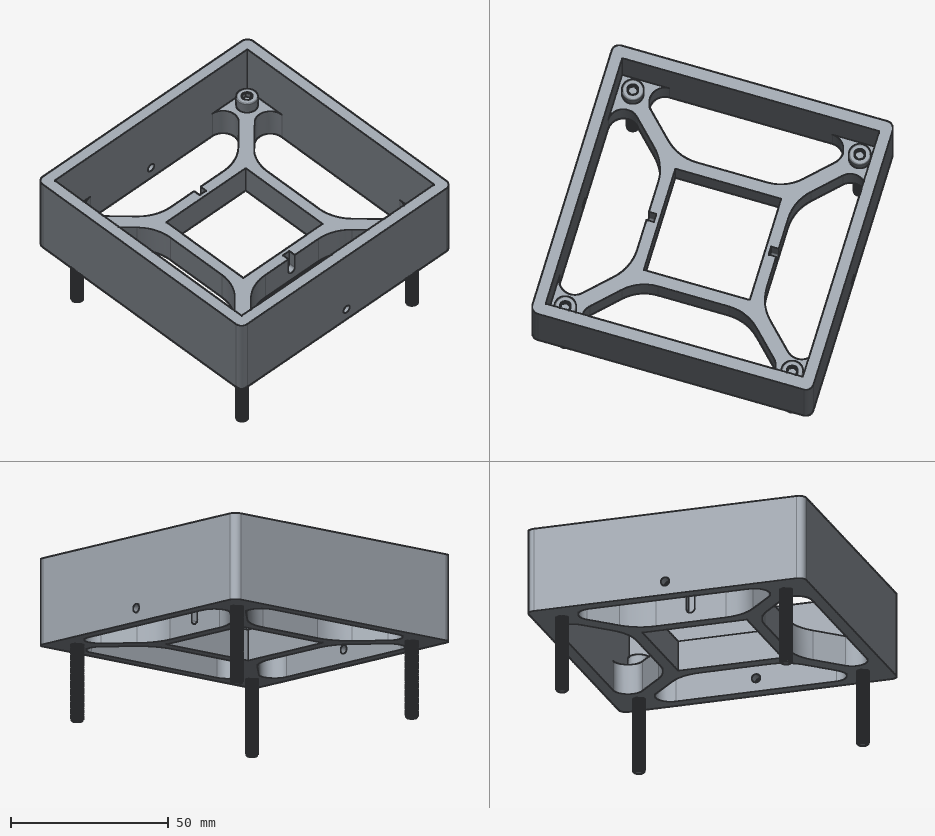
import cadquery as cq
import math

opening_width = 85.0
wall = 3.95
outer_width = opening_width + 2 * wall
frame_height = 28.0
corner_radius = 2.5

floor_height = 10.0
window_width = 35.0
diagonal_bar_width = 5.0
slot_end_radius = 5.0
slot_bend_radius = 15.0
slot_outer = opening_width / 2
slot_inner = window_width / 2 + wall

cross_hole_diameter = 2.8
cross_hole_z = 4.5
groove_depth = 2.5

screw_spacing = 75.0
thread_diameter = 4.0
thread_root_diameter = 3.09
thread_pitch = 0.7
thread_crest_width = thread_pitch / 8
thread_root_width = thread_pitch / 4
thread_start_angle = 270
screw_length = 35.0
head_clearance = 0.25
tip_chamfer = 0.6
head_diameter = 7.0
head_height = 4.0
head_edge_radius = 0.3
socket_width = 3.0
socket_depth = 2.0
socket_mouth_diameter = 3.6
socket_turn = 30


def slot_cutter(angle):
    """Rounded trapezoid opening on the +Y side, turned about Z by the given angle."""
    diagonal_offset = diagonal_bar_width / math.sqrt(2)
    outer_half = slot_outer - diagonal_offset
    inner_half = slot_inner - diagonal_offset
    slot = (
        cq.Workplane("XY")
        .polyline([
            (-outer_half, slot_outer),
            (-inner_half, slot_inner),
            (inner_half, slot_inner),
            (outer_half, slot_outer),
        ])
        .close()
        .extrude(floor_height)
    )
    slot = slot.edges("|Z").edges(">Y").fillet(slot_end_radius)
    slot = slot.edges("|Z").edges("<Y").fillet(slot_bend_radius)
    return slot.rotate((0, 0, 0), (0, 0, 1), angle)


def groove_cutter(side):
    """Round-bottomed groove, open at the top, in the outer face of one window bar."""
    groove_end = slot_inner - groove_depth
    channel_height = floor_height - cross_hole_z
    bottom = (
        cq.Workplane("YZ", origin=(groove_end, 0, cross_hole_z))
        .circle(cross_hole_diameter / 2)
        .extrude(groove_depth)
    )
    channel = cq.Workplane("XY").box(
        groove_depth, cross_hole_diameter, channel_height, centered=(False, True, False)
    ).translate((groove_end, 0, cross_hole_z))
    groove = bottom.union(channel)
    return groove if side > 0 else groove.mirror("YZ")


def make_frame():
    frame = (
        cq.Workplane("XY")
        .rect(outer_width, outer_width)
        .extrude(frame_height)
        .edges("|Z")
        .fillet(corner_radius)
    )
    cavity = (
        cq.Workplane("XY", origin=(0, 0, floor_height))
        .rect(opening_width, opening_width)
        .extrude(frame_height - floor_height)
    )
    window = cq.Workplane("XY").rect(window_width, window_width).extrude(floor_height)
    frame = frame.cut(cavity).cut(window)
    for angle in (0, 90, 180, 270):
        frame = frame.cut(slot_cutter(angle))

    for side in (-1, 1):
        wall_hole = (
            cq.Workplane("YZ", origin=(side * slot_outer, 0, cross_hole_z))
            .circle(cross_hole_diameter / 2)
            .extrude(side * wall)
        )
        frame = frame.cut(wall_hole).cut(groove_cutter(side))

    screw_holes = (
        cq.Workplane("XY")
        .rect(screw_spacing, screw_spacing, forConstruction=True)
        .vertices()
        .circle(thread_diameter / 2)
        .extrude(floor_height)
    )
    return frame.cut(screw_holes)


def make_thread_groove():
    """Helical V groove that forms the thread, starting just past the tip."""
    crest_radius = thread_diameter / 2
    root_radius = thread_root_diameter / 2
    overshoot = 0.1
    flank_width = (thread_pitch - thread_crest_width - thread_root_width) / 2
    flank_slope = flank_width / (crest_radius - root_radius)
    root_half = thread_root_width / 2
    mouth_half = root_half + flank_slope * (crest_radius - root_radius + overshoot)
    mouth_radius = crest_radius + overshoot
    helix = cq.Wire.makeHelix(thread_pitch, screw_length, root_radius)
    return (
        cq.Workplane("XZ")
        .polyline([
            (root_radius, -root_half),
            (mouth_radius, -mouth_half),
            (mouth_radius, mouth_half),
            (root_radius, root_half),
        ])
        .close()
        .sweep(cq.Workplane(helix), isFrenet=True)
        .translate((0, 0, -screw_length - thread_pitch))
        .rotate((0, 0, 0), (0, 0, 1), thread_start_angle)
    )


def make_screw():
    """Screw along Z with the underside of its head at Z = 0."""
    shank = (
        cq.Workplane("XY")
        .circle(thread_diameter / 2)
        .extrude(-screw_length)
        .faces("<Z")
        .chamfer(tip_chamfer)
    )
    shank = shank.cut(make_thread_groove())

    head = (
        cq.Workplane("XY")
        .circle(head_diameter / 2)
        .extrude(head_height)
        .faces(">Z")
        .edges()
        .fillet(head_edge_radius)
    )
    socket_corner_diameter = socket_width / math.cos(math.radians(30))
    socket = (
        cq.Workplane("XY", origin=(0, 0, head_height - socket_depth))
        .polygon(6, socket_corner_diameter)
        .extrude(socket_depth)
        .rotate((0, 0, 0), (0, 0, 1), socket_turn)
    )
    mouth_depth = (socket_mouth_diameter - socket_width) / 2
    socket_mouth = (
        cq.Workplane("XY", origin=(0, 0, head_height))
        .circle(socket_mouth_diameter / 2)
        .workplane(offset=-mouth_depth)
        .circle(socket_width / 2)
        .loft()
    )
    return head.cut(socket).cut(socket_mouth).union(shank)


frame = make_frame()

screw = make_screw()
half_spacing = screw_spacing / 2
screws = [
    screw.translate((x, y, floor_height + head_clearance))
    for x in (-half_spacing, half_spacing)
    for y in (-half_spacing, half_spacing)
]

result = cq.Compound.makeCompound([frame.val(), *[placed.val() for placed in screws]])